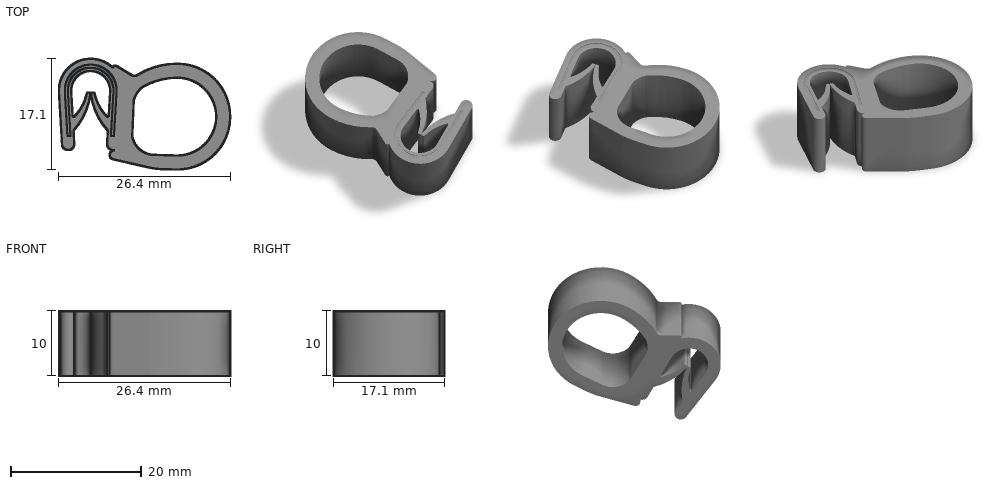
import cadquery as cq
import math


length = 10.0

arch_outer_radius = 4.9
arch_inner_radius = 2.98
leg_taper = math.radians(3.4)
foot_center_y = -8.2

carrier_outer_radius = 3.98
carrier_inner_radius = 3.5
carrier_end_y = -6.95
carrier_recess = 0.1

lip_gap = 0.05
lip_top_y = -0.26
lip_tip_width = 0.47
lip_tip_radius = 0.13
lip_upper_root = (2.53, -4.0)
lip_upper_middle = (1.3, -2.32)
lip_upper_tip = (0.63, -0.55)
lip_lower_root = (2.58, -6.1)
lip_lower_middle = (0.75, -3.21)
lip_lower_tip_y = -0.55
lip_root_fillet = 0.18

bulb_center = (13.3, -4.0)
bulb_radius = 8.15
bulb_wall = 2.19
floor_end_x = 12.93
roof_start = (7.3, 2.48)
roof_middle = (9.88, 3.63)
valley_start = (6.27, 2.4)
valley_bottom = (6.7, 2.27)
step_bottom = (3.37, 3.48)
step_top = (3.55, 3.85)
step_corner = (3.87, 3.85)
step_fillet = 0.15
lobe_center = (3.6, -9.88)
lobe_radius = 0.7
floor_bend_start = (9.15, -11.88)
floor_bend_middle = (10.0, -12.0)
floor_bend_end = (10.88, -12.1)

hole_radius = bulb_radius - bulb_wall
hole_roof_middle = (10.33, 1.53)
hole_roof_end = (7.95, 0.53)
hole_upper_corner = (7.1, -0.42)
hole_side_top = (6.65, -1.45)
hole_side_bottom = (6.4, -7.05)
hole_lower_corner = (7.45, -8.95)
hole_floor_start = (9.9, -9.85)


def leg_x(radius, y):
    """Distance from the clip centreline to the tapered leg face tangent to an arch."""
    return radius / math.cos(leg_taper) + y * math.tan(leg_taper)


def leg_start(radius):
    """Point where an arch of this radius runs into its straight right leg."""
    return radius * math.cos(leg_taper), -radius * math.sin(leg_taper)


def u_band(outer_radius, inner_radius, end_y, rounded):
    """Arched band with two tapered legs, ended square or with full rounds."""
    outer_x, outer_y = leg_start(outer_radius)
    inner_x, inner_y = leg_start(inner_radius)
    if rounded:
        end_radius = (outer_radius - inner_radius) / 2
        end_x = leg_x((outer_radius + inner_radius) / 2, end_y)
        across = end_radius * math.cos(leg_taper)
        rise = end_radius * math.sin(leg_taper)
        outer_end = (end_x + across, end_y - rise)
        inner_end = (end_x - across, end_y + rise)
        end_bottom = (end_x - rise, end_y - across)
    else:
        outer_end = (leg_x(outer_radius, end_y), end_y)
        inner_end = (leg_x(inner_radius, end_y), end_y)

    band = (
        cq.Workplane("XY")
        .moveTo(-outer_end[0], outer_end[1])
        .lineTo(-outer_x, outer_y)
        .threePointArc((0, outer_radius), (outer_x, outer_y))
        .lineTo(*outer_end)
    )
    if rounded:
        band = band.threePointArc(end_bottom, inner_end)
    else:
        band = band.lineTo(*inner_end)
    band = (
        band.lineTo(inner_x, inner_y)
        .threePointArc((0, inner_radius), (-inner_x, inner_y))
        .lineTo(-inner_end[0], inner_end[1])
    )
    if rounded:
        band = band.threePointArc((-end_bottom[0], end_bottom[1]), (-outer_end[0], outer_end[1]))
    return band.close().extrude(length)


def right_lip():
    """Curved lip rising from the right leg to the clip centreline."""
    root_x = carrier_inner_radius
    tip_x = lip_gap / 2
    tip_end_x = tip_x + lip_tip_width
    return (
        cq.Workplane("XY")
        .moveTo(root_x, lip_lower_root[1])
        .lineTo(*lip_lower_root)
        .threePointArc(lip_lower_middle, (tip_x, lip_lower_tip_y))
        .lineTo(tip_x, lip_top_y)
        .lineTo(tip_end_x, lip_top_y)
        .lineTo(*lip_upper_tip)
        .threePointArc(lip_upper_middle, lip_upper_root)
        .lineTo(root_x, lip_upper_root[1])
        .close()
        .extrude(length)
        .edges("|Z and >Y")
        .fillet(lip_tip_radius)
    )


def bulb():
    """Outer bulb body, reaching into the right leg of the clip."""
    center_x, center_y = bulb_center
    lobe_x, lobe_y = lobe_center
    floor_end_y = center_y - math.sqrt(bulb_radius**2 - (center_x - floor_end_x) ** 2)
    floor_slope = math.atan2(floor_bend_start[1] - lobe_y + lobe_radius, floor_bend_start[0] - lobe_x)
    lobe_end = (
        lobe_x + lobe_radius * math.sin(floor_slope),
        lobe_y - lobe_radius * math.cos(floor_slope),
    )
    step_corners = cq.selectors.SumSelector(
        cq.selectors.NearestToPointSelector((*step_top, length / 2)),
        cq.selectors.NearestToPointSelector((*step_corner, length / 2)),
    )
    return (
        cq.Workplane("XY")
        .moveTo(lobe_x, lobe_y + lobe_radius)
        .threePointArc((lobe_x - lobe_radius, lobe_y), lobe_end)
        .lineTo(*floor_bend_start)
        .threePointArc(floor_bend_middle, floor_bend_end)
        .lineTo(floor_end_x, floor_end_y)
        .threePointArc((center_x + bulb_radius, center_y), (center_x, center_y + bulb_radius))
        .threePointArc(roof_middle, roof_start)
        .threePointArc(valley_bottom, valley_start)
        .lineTo(*step_corner)
        .lineTo(*step_top)
        .lineTo(*step_bottom)
        .lineTo(lobe_x, 0)
        .close()
        .extrude(length)
        .edges("|Z")
        .edges(step_corners)
        .fillet(step_fillet)
    )


def bulb_hole():
    """Cavity through the bulb, flattened on the clip side."""
    center_x, center_y = bulb_center
    return (
        cq.Workplane("XY")
        .moveTo(center_x, center_y - hole_radius)
        .threePointArc((center_x + hole_radius, center_y), (center_x, center_y + hole_radius))
        .threePointArc(hole_roof_middle, hole_roof_end)
        .threePointArc(hole_upper_corner, hole_side_top)
        .lineTo(*hole_side_bottom)
        .threePointArc(hole_lower_corner, hole_floor_start)
        .close()
        .extrude(length)
    )


lip = right_lip()
channel = u_band(arch_outer_radius, arch_inner_radius, foot_center_y, rounded=True)
seal = channel.union(bulb().cut(bulb_hole())).union(lip).union(lip.mirror("YZ"))

pocket_x = leg_x(arch_inner_radius, lip_upper_root[1])
for side in (-1, 1):
    pocket = cq.selectors.NearestToPointSelector((side * pocket_x, lip_upper_root[1], length / 2))
    seal = seal.edges("|Z").edges(pocket).fillet(lip_root_fillet)

carrier = u_band(carrier_outer_radius, carrier_inner_radius, carrier_end_y, rounded=False)
recess = carrier.translate((0, 0, length - carrier_recess))
result = seal.cut(recess)